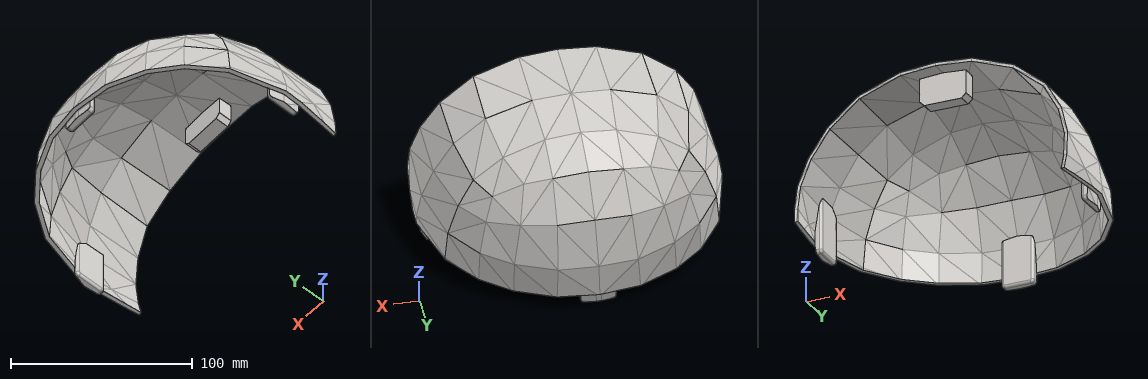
import cadquery as cq

wall = 2.8
rim_wall = 2.0
skirt_depth = 8.6
trim_size = 344
tab_overlap = 0.2
dome_centre = (0, 34.4, -skirt_depth)
bulge_start = 5
flank = 3

front_lean_forward = 0.17
front_lean_inward = 0.1

front_arch = [(0, 0, 84.0), (21.8, 0.3, 82.4), (47.5, 0.5, 73.3), (66.4, 1.0, 58.3),
              (77.0, -1.2, 40.6), (82.2, -4.1, 23.5), (83.0, -6.7, 8.5)]
second_arch = [(0, 37.0, 82.8), (22.0, 36.8, 81.4), (48.2, 36.5, 72.6), (66.0, 36.1, 57.5),
               (77.0, 34.8, 38.4), (83.5, 33.2, 21.0), (86, 31.7, 5.3)]
third_arch = [(0, 61.5, 74.8), (20.1, 61.6, 73.1), (43.7, 61.6, 64.3), (60.5, 62.6, 52.1),
              (69.5, 64.2, 36.5), (75.5, 65.4, 18.8), (77.0, 65.2, 1.4)]
rear_arch = [(0, 82.2, 63.5), (20.0, 81.5, 61.6), (35.6, 78.5, 57.8), (52.5, 74.7, 48.7),
             (57.3, 80.3, 36.0), (61.8, 85.5, 18.4), (62.6, 85.8, -1.4)]
side_bulge = (85.5, 11.4, 7.0)
arches = [front_arch, second_arch, third_arch, rear_arch]

back_rows = [
    rear_arch[:flank + 1],
    [(0, 99.3, 42.8), (21.0, 98.4, 42.0), (40.5, 92.2, 40.3), rear_arch[4]],
    [(0, 109.5, 17.9), (22.5, 107.9, 17.9), (45.0, 98.2, 18.0), rear_arch[5]],
    [(0, 112.3, -1.4), (23.5, 109.6, -1.4), (45.8, 99.6, -1.4), rear_arch[6]],
]


def foot(point):
    """Point straight below a lowest facet corner, at the bottom of the skirt."""
    return (point[0], point[1], -skirt_depth)


def front_foot():
    """Foot of the front edge, which keeps leaning forward and inward below its last corner."""
    x, y, z = front_arch[-1]
    drop = z + skirt_depth
    return (x - front_lean_inward * drop, y - front_lean_forward * drop, -skirt_depth)


def split_quad(a, b, c, d, flipped):
    """Two triangles covering the quad a-b-c-d."""
    if flipped:
        return [(a, b, c), (a, c, d)]
    return [(a, b, d), (b, c, d)]


def half_skin():
    """Triangles of the x >= 0 half of the outer skin, with the corners of its open border.

    The direction in which each quad is folded depends on its place on the dome.
    """
    side = [arch + [foot(arch[-1])] for arch in arches]
    side[0][-1] = front_foot()
    back = back_rows + [[foot(point) for point in back_rows[-1]]]
    triangles = []
    for i in range(len(side) - 1):
        for k in range(len(side[i]) - 1):
            if i == 0 and k >= bulge_start:
                continue
            quad = (side[i][k], side[i][k + 1], side[i + 1][k + 1], side[i + 1][k])
            on_top = i > 0 and k < flank
            on_low_rear_side = i == 2 and k == 5
            triangles += split_quad(*quad, flipped=on_top or on_low_rear_side)
    bulge_ring = side[0][bulge_start:] + side[1][:bulge_start - 1:-1]
    for a, b in zip(bulge_ring, bulge_ring[1:] + bulge_ring[:1]):
        triangles.append((side_bulge, a, b))
    for i in range(len(back) - 1):
        for k in range(flank):
            quad = (back[i][k], back[i][k + 1], back[i + 1][k + 1], back[i + 1][k])
            below_rear_arch = i == 0 and k == 1
            triangles += split_quad(*quad, flipped=below_rear_arch)
    border = side[0] + [side[1][-1], side[2][-1]] + back[-1][::-1]
    return triangles, border


def outward_normals(triangles):
    """Unit normal at each corner, averaged over the triangles that meet there."""
    totals = {}
    for a, b, c in triangles:
        normal = (cq.Vector(*b) - cq.Vector(*a)).cross(cq.Vector(*c) - cq.Vector(*a)).normalized()
        for corner in (a, b, c):
            totals[corner] = totals.get(corner, cq.Vector()) + normal
    normals = {}
    for corner, total in totals.items():
        across = 0 if corner[0] == 0 else total.x
        level = 0 if corner[2] == -skirt_depth else total.z
        unit = cq.Vector(across, total.y, level).normalized()
        outward = unit.dot(cq.Vector(*corner) - cq.Vector(*dome_centre)) > 0
        normals[corner] = unit if outward else -unit
    return normals


def polyhedron(half_triangles):
    """Solid enclosed by the given triangles and their mirror images in x = 0."""
    faces = []
    for triangle in half_triangles:
        for sign in (1, -1):
            corners = [cq.Vector(sign * x, y, z) for x, y, z in triangle]
            faces.append(cq.Face.makeFromWires(cq.Wire.makePolygon(corners, close=True)))
    return cq.Workplane(cq.Solid.makeSolid(cq.Shell.makeShell(faces)).fix())


skin, border = half_skin()
normals = outward_normals(skin)
front_edge = front_arch + [front_foot()]


def inset(point, short=0):
    """Inner corner behind an outer one, stopping short of the full wall by the given amount."""
    thickness = rim_wall if point in front_edge else wall
    return (cq.Vector(*point) - normals[point] * (thickness - short)).toTuple()


def inset_all(triangles, short=0):
    """Inner triangles behind the given outer ones."""
    return [tuple(inset(point, short) for point in triangle) for triangle in triangles]


def dome_wall():
    """Thin faceted wall, trimmed flat at the base."""
    rim = []
    for a, b in zip(border, border[1:]):
        rim += split_quad(a, b, inset(b), inset(a), flipped=False)
    shell = polyhedron(skin + inset_all(skin) + rim)
    trim = cq.Workplane().box(trim_size, trim_size, 2 * skirt_depth, centered=(True, True, False))
    return shell.cut(trim.translate((0, 0, -2 * skirt_depth)))


def inner_space():
    """Space inside the dome, reaching slightly into the wall so that tabs cut to it fuse there."""
    inner_border = [inset(point, tab_overlap) for point in border]
    rim = [(a, b, dome_centre) for a, b in zip(inner_border, inner_border[1:])]
    return polyhedron(inset_all(skin, tab_overlap) + rim)


tab_drop = 6.9
tab_height = 37.8
tab_thickness = 5.2
tab_width = 20.0
tab_corner_radius = 2.0
tab_edge_radius = 1.5
back_tab_outer_y = 109.6
side_tab_outer_x = 84.0
side_tab_y = 30.0

crown_tab_width = 28.2
crown_tab_front_y = 9.1
crown_tab_depth = 8.6
crown_tab_bottom = 63.8
crown_tab_height = 24.0
crown_tab_chamfer = 2.8


def base_tab():
    """Tab with its outer face on y = 0, rounded around the inner face."""
    tab = cq.Workplane().box(tab_width, tab_thickness, tab_height, centered=(True, False, False))
    tab = tab.translate((0, -tab_thickness, -tab_drop))
    tab = tab.faces("<Z").edges("|Y").fillet(tab_corner_radius)
    return tab.faces("<Y").edges().fillet(tab_edge_radius)


def crown_tab():
    """Block hanging from the crown just behind the front edge, with clipped lower corners."""
    tab = cq.Workplane().box(crown_tab_width, crown_tab_depth, crown_tab_height,
                             centered=(True, False, False))
    tab = tab.translate((0, crown_tab_front_y, crown_tab_bottom))
    return tab.faces("<Z").edges("|Y").chamfer(crown_tab_chamfer)


back_tab = base_tab().translate((0, back_tab_outer_y, 0))
right_tab = base_tab().rotate((0, 0, 0), (0, 0, 1), -90).translate((side_tab_outer_x, side_tab_y, 0))
left_tab = right_tab.mirror("YZ")

result = dome_wall()
space = inner_space()
for tab in (back_tab, right_tab, left_tab, crown_tab()):
    result = result.union(tab.intersect(space))